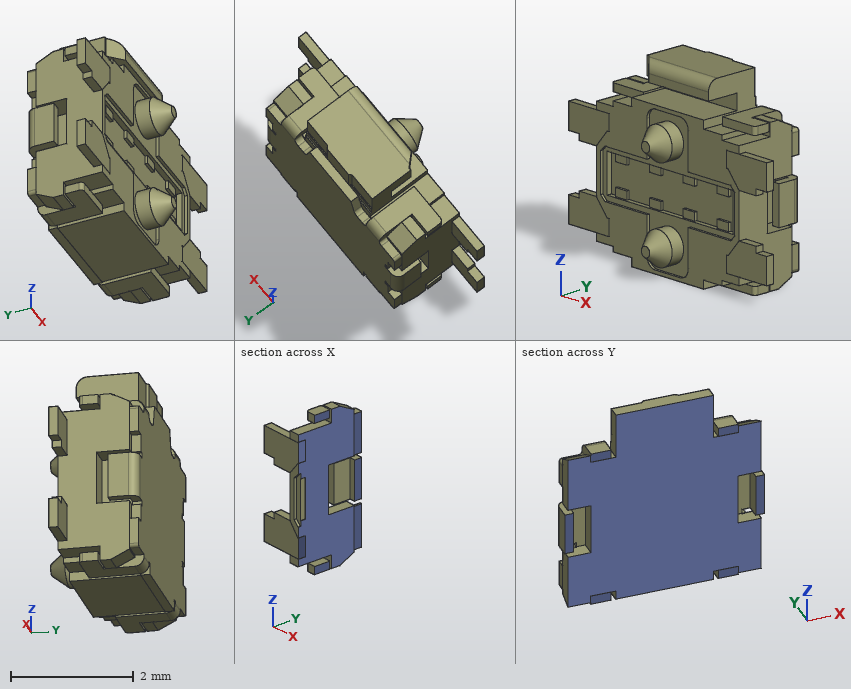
import cadquery as cq
import math

SIDES = (-1, 1)

terminal_tip_x = 2.35
overall_height = 3.55
overall_depth = 1.85
peg_length = 0.5
sheet = 0.155
cover_back_y = overall_depth - peg_length
housing_back_y = cover_back_y - sheet

housing_half_x = 1.69
housing_half_z = 1.448
centre_half_x = 0.855
clip_seat_z = housing_half_z - sheet
corner_x = 1.292
hook_recess_z = 1.2
hook_recess_y = 0.705
ramp_front_y = 0.89

tray_half_x = 1.59
tray_half_z = 0.475
tray_chamfer = 0.1
tray_depth = 0.05
arm_half_x = 0.49
arm_half_z = 1.375
arm_radius = 0.197
pocket_half_x = tray_half_x - tray_chamfer
pocket_half_z = tray_half_z - tray_chamfer
pocket_depth = 0.15
rib_count = 4
rib_pitch = 0.805
rib_width = 0.273
rib_length = 0.155
rib_height = 0.05

peg_z = 0.9
peg_radius = 0.325
peg_tip_radius = 0.1
peg_straight = 0.205

actuator_top_z = overall_height - housing_half_z
lip_bottom_z = 1.75
lip_front_y = 0.11
lip_radius = 0.197
lip_corner_y = 0.35
lip_shoulder = 0.05
neck_front_y = 0.75
actuator_back_y = 1.155
neck_back_y = 1.175
back_rib_half_x = 0.28

cover_top_z = 1.213
cover_bottom_z = 1.255
cover_radius = 0.055
cover_inner_radius = 0.095
top_tab_radius = 0.09
top_tab_z = 1.605
top_tab_half_x = 0.545
top_tab_base_half_x = 0.645
cover_foot_half_x = 0.875
cover_waist_z = 0.755
cover_waist_x = 1.525
bend_relief_z = 0.46
bend_relief_x = 1.448

clip_inner_x = 0.935
hook_tip_x = 1.7
clip_front_y = 0.35
hook_back_y = 0.67
hook_radius = 0.07

flap_outer_x = 1.75
flap_inner_x = flap_outer_x - sheet
flap_half_z = 0.375
flap_front_y = 0.85
flap_recess_half_z = 0.445
flap_recess_y = 0.65
flap_recess_x = corner_x

terminal_inner_x = 1.39
terminal_top_z = 1.055
terminal_tip_z = 0.55
terminal_bottom_z = 0.432
terminal_step_x = 2.1
bevel_x = 1.435
bevel_z = 0.743


def box(x0, x1, y0, y1, z0, z1):
    """Box between the given limits, which may come in either order."""
    size = (abs(x1 - x0), abs(y1 - y0), abs(z1 - z0))
    corner = cq.Vector(min(x0, x1), min(y0, y1), min(z0, z1))
    return cq.Workplane(cq.Solid.makeBox(*size, corner))


def front_plane(y):
    """Sketch plane at depth y: local x is X, local y is Z, extruding toward -Y."""
    return cq.Workplane("XZ", origin=(0, y, 0))


def side_plane(x):
    """Sketch plane at position x: local x is Y, local y is Z, extruding toward +X."""
    return cq.Workplane("YZ", origin=(x, 0, 0))


def top_plane(z):
    """Sketch plane at height z: local x is X, local y is Y, extruding toward +Z."""
    return cq.Workplane("XY", origin=(0, 0, z))


def terminal(side_x, side_z):
    outline = [
        (terminal_inner_x, terminal_top_z),
        (terminal_tip_x, terminal_top_z),
        (terminal_tip_x, terminal_tip_z),
        (terminal_step_x, terminal_tip_z),
        (terminal_step_x, terminal_bottom_z),
        (housing_half_x, terminal_bottom_z),
        (bevel_x, bevel_z),
        (terminal_inner_x, bevel_z),
    ]
    points = [(side_x * x, side_z * z) for x, z in outline]
    return front_plane(sheet).polyline(points).close().extrude(sheet)


def housing_corner(side_x, side_z):
    """Block at one corner, open at the front for the clip hook and ramped at the back."""
    profile = [
        (hook_recess_y, 0),
        (hook_recess_y, housing_half_z),
        (ramp_front_y, housing_half_z),
        (housing_back_y, clip_seat_z),
        (housing_back_y, 0),
    ]
    points = [(y, side_z * z) for y, z in profile]
    width = housing_half_x - corner_x
    start_x = min(side_x * corner_x, side_x * housing_half_x)
    return side_plane(start_x).polyline(points).close().extrude(width)


def housing_shell():
    shell = box(-housing_half_x, housing_half_x, 0, housing_back_y, -clip_seat_z, clip_seat_z)
    shell = shell.union(
        box(-centre_half_x, centre_half_x, 0, housing_back_y, -housing_half_z, housing_half_z)
    )
    for side_x in SIDES:
        for side_z in SIDES:
            hook_recess = box(
                side_x * corner_x, side_x * housing_half_x,
                0, hook_recess_y,
                side_z * hook_recess_z, side_z * housing_half_z,
            )
            shell = shell.cut(hook_recess).union(housing_corner(side_x, side_z))
        flap_recess = box(
            side_x * flap_recess_x, side_x * housing_half_x,
            flap_recess_y, housing_back_y,
            -flap_recess_half_z, flap_recess_half_z,
        )
        shell = shell.cut(flap_recess)
    return shell


def face_openings():
    """Shallow cross-shaped tray with a deeper pocket that keeps two rows of ribs."""
    tray = (
        front_plane(tray_depth)
        .rect(2 * tray_half_x, 2 * tray_half_z)
        .extrude(tray_depth)
        .edges("|Y")
        .chamfer(tray_chamfer)
    )
    arms = (
        front_plane(tray_depth)
        .rect(2 * arm_half_x, 2 * arm_half_z)
        .extrude(tray_depth)
        .edges("|Y")
        .fillet(arm_radius)
    )
    pocket = box(-pocket_half_x, pocket_half_x, 0, pocket_depth, -pocket_half_z, pocket_half_z)
    for index in range(rib_count):
        rib_x = (index - (rib_count - 1) / 2) * rib_pitch
        for side_z in SIDES:
            rib = box(
                rib_x - rib_width / 2, rib_x + rib_width / 2,
                pocket_depth - rib_height, pocket_depth,
                side_z * (pocket_half_z - rib_length), side_z * pocket_half_z,
            )
            pocket = pocket.cut(rib)
    return tray.union(arms).union(pocket)


def locating_peg(z):
    """Round peg with a conical tip, standing on the tray floor."""
    profile = [
        (tray_depth, 0),
        (tray_depth, peg_radius),
        (-peg_straight, peg_radius),
        (-peg_length, peg_tip_radius),
        (-peg_length, 0),
    ]
    peg = side_plane(0).polyline(profile).close().revolve(360, (0, 0), (1, 0))
    return peg.translate((0, 0, z))


def actuator():
    """Hooked arm on top of the housing: a neck, a rounded lip and a guide rib on its back."""
    arc = math.sqrt(0.5) * lip_radius
    arc_y = lip_front_y + lip_radius
    arc_z = actuator_top_z - lip_radius
    arm = (
        side_plane(-centre_half_x)
        .moveTo(neck_back_y, housing_half_z)
        .lineTo(neck_back_y, top_tab_z)
        .lineTo(actuator_back_y, top_tab_z)
        .lineTo(actuator_back_y, actuator_top_z)
        .lineTo(arc_y, actuator_top_z)
        .threePointArc((arc_y - arc, arc_z + arc), (lip_front_y, arc_z))
        .lineTo(lip_front_y, lip_bottom_z)
        .lineTo(neck_front_y, lip_bottom_z)
        .lineTo(neck_front_y, housing_half_z)
        .close()
        .extrude(2 * centre_half_x)
    )
    bevel_start_x = -centre_half_x + lip_shoulder
    bevel_run = lip_corner_y - lip_front_y
    corner_cut = (
        top_plane(lip_bottom_z)
        .polyline([
            (-centre_half_x, lip_front_y),
            (-centre_half_x, lip_corner_y),
            (bevel_start_x, lip_corner_y),
            (bevel_start_x + bevel_run, lip_front_y),
        ])
        .close()
        .extrude(actuator_top_z - lip_bottom_z)
    )
    rib_flank = housing_back_y - actuator_back_y
    back_rib = (
        top_plane(housing_half_z)
        .polyline([
            (-back_rib_half_x, housing_back_y),
            (back_rib_half_x, housing_back_y),
            (back_rib_half_x + rib_flank, actuator_back_y),
            (-back_rib_half_x - rib_flank, actuator_back_y),
        ])
        .close()
        .extrude(actuator_top_z - housing_half_z)
    )
    return arm.cut(corner_cut).union(back_rib)


def make_housing(terminals):
    housing = housing_shell().cut(face_openings())
    for side_z in SIDES:
        housing = housing.union(locating_peg(side_z * peg_z))
    housing = housing.union(actuator())
    for contact in terminals:
        housing = housing.cut(contact)
    return housing


def cover_plate():
    """Flat back plate with waisted sides, a tapered tab at the top and a foot at the bottom."""
    plate = box(
        -housing_half_x, housing_half_x, housing_back_y, cover_back_y, -cover_bottom_z, cover_top_z
    )
    plate = plate.edges("|Y").fillet(cover_radius)
    for side_x in SIDES:
        waist = box(
            side_x * cover_waist_x, side_x * housing_half_x,
            housing_back_y, cover_back_y,
            -cover_waist_z, cover_waist_z,
        )
        bend_relief = box(
            side_x * bend_relief_x, side_x * housing_half_x,
            housing_back_y, cover_back_y,
            -bend_relief_z, bend_relief_z,
        )
        plate = plate.cut(waist).cut(bend_relief)
    top_tab = (
        front_plane(cover_back_y)
        .polyline([
            (-top_tab_base_half_x, cover_top_z),
            (-top_tab_half_x, top_tab_z),
            (top_tab_half_x, top_tab_z),
            (top_tab_base_half_x, cover_top_z),
        ])
        .close()
        .extrude(sheet)
    )
    foot = box(
        -cover_foot_half_x, cover_foot_half_x,
        housing_back_y, cover_back_y,
        -housing_half_z, -cover_bottom_z,
    )
    plate = plate.union(top_tab)
    middle_y = (housing_back_y + cover_back_y) / 2
    for side_x in SIDES:
        tab_root = cq.NearestToPointSelector((side_x * top_tab_base_half_x, middle_y, cover_top_z))
        plate = plate.edges("|Y").edges(tab_root).fillet(top_tab_radius)
    return plate.union(foot)


def clip_relief(x, outward, radius):
    """Concave fillet between the top edge of the plate and the side of a clip at x."""
    bulge = radius * (1 - math.sqrt(0.5))
    return (
        front_plane(cover_back_y)
        .moveTo(x, cover_top_z)
        .lineTo(x + outward * radius, cover_top_z)
        .threePointArc((x + outward * bulge, cover_top_z + bulge), (x, cover_top_z + radius))
        .close()
        .extrude(sheet)
    )


def clip(side_x, side_z):
    """Strap bent forward over the housing edge, ending in an outward hook."""
    bend = math.sqrt(0.5) * sheet
    root_z = cover_top_z if side_z > 0 else -cover_bottom_z
    start_x = min(side_x * clip_inner_x, side_x * corner_x)
    strap = (
        side_plane(start_x)
        .moveTo(clip_front_y, side_z * clip_seat_z)
        .lineTo(clip_front_y, side_z * housing_half_z)
        .lineTo(housing_back_y, side_z * housing_half_z)
        .threePointArc(
            (housing_back_y + bend, side_z * (clip_seat_z + bend)),
            (cover_back_y, side_z * clip_seat_z),
        )
        .lineTo(cover_back_y, root_z)
        .lineTo(housing_back_y, root_z)
        .lineTo(housing_back_y, side_z * clip_seat_z)
        .close()
        .extrude(corner_x - clip_inner_x)
    )
    hook = box(
        side_x * corner_x, side_x * hook_tip_x,
        clip_front_y, hook_back_y,
        side_z * clip_seat_z, side_z * housing_half_z,
    )
    tip_edge = "|Z and <Y and " + (">X" if side_x > 0 else "<X")
    hook = hook.edges(tip_edge).fillet(hook_radius)
    return strap.union(hook)


def flap(side_x):
    """Flap bent forward into the recess in one side of the housing."""
    bend = math.sqrt(0.5) * sheet
    return (
        top_plane(-flap_half_z)
        .moveTo(side_x * bend_relief_x, cover_back_y)
        .lineTo(side_x * flap_inner_x, cover_back_y)
        .threePointArc(
            (side_x * (flap_inner_x + bend), housing_back_y + bend),
            (side_x * flap_outer_x, housing_back_y),
        )
        .lineTo(side_x * flap_outer_x, flap_front_y)
        .lineTo(side_x * flap_inner_x, flap_front_y)
        .lineTo(side_x * flap_inner_x, housing_back_y)
        .lineTo(side_x * bend_relief_x, housing_back_y)
        .close()
        .extrude(2 * flap_half_z)
    )


def make_cover():
    cover = cover_plate()
    for side_x in SIDES:
        cover = cover.union(flap(side_x))
        for side_z in SIDES:
            cover = cover.union(clip(side_x, side_z))
        cover = cover.union(clip_relief(side_x * corner_x, side_x, cover_radius))
        cover = cover.union(clip_relief(side_x * clip_inner_x, -side_x, cover_inner_radius))
    return cover


terminals = [terminal(side_x, side_z) for side_x in SIDES for side_z in SIDES]
housing = make_housing(terminals)
cover = make_cover()

result = cq.Compound.makeCompound(
    [housing.val(), cover.val(), *[contact.val() for contact in terminals]]
)